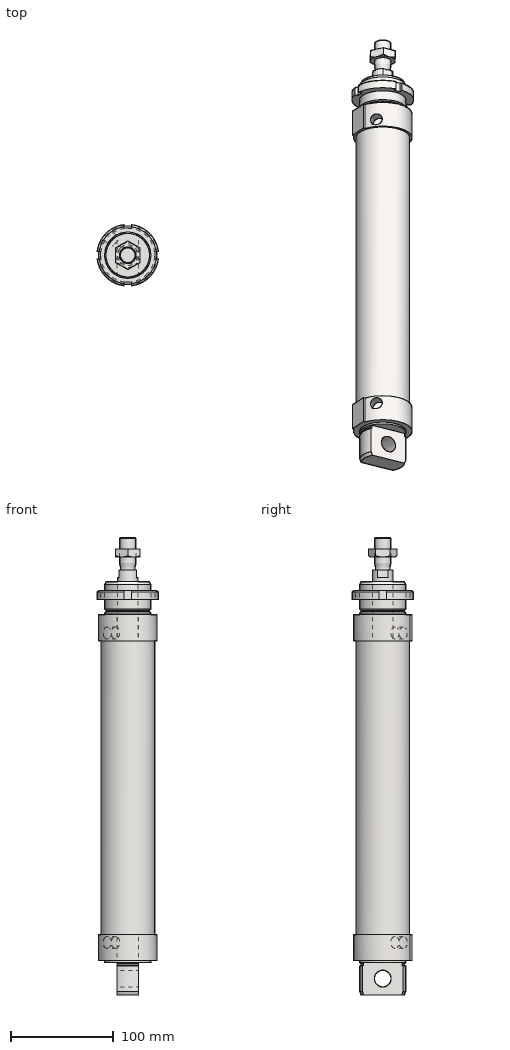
import cadquery as cq
import math

OVERALL_LENGTH = 445.0

BARREL_DIAMETER = 52.5
CAP_DIAMETER = 57.0
CAP_HEIGHT = 25.5
REAR_CAP_BASE = 33.5
FRONT_CAP_BASE = 344.5
COLLAR_DIAMETER = 45.0
COLLAR_TOP = 402.0
END_CHAMFER_WIDTH = 1.5
COLLAR_CHAMFER_HEIGHT = 2.5
CLEVIS_CHAMFER_HEIGHT = 3.5
RELIEF_DIAMETER = 42.7
RELIEF_BAND = 2.0
RELIEF_HEIGHT = 3.5
RELIEF_TAPER = (COLLAR_DIAMETER - RELIEF_DIAMETER) / 2
CLEVIS_THICKNESS = 21.0
CLEVIS_HOLE_DIAMETER = 16.0
CLEVIS_HOLE_HEIGHT = 16.0

PAD_WIDTH = 20.5
PAD_REACH = CAP_DIAMETER / 2
PORT_DIAMETER = 11.5
PORT_DEPTH = 11.5
PORT_ANGLE = 135.0
PORT_OFFSET = 7.5

ROD_DIAMETER = 20.0
ROD_SHOULDER = 413.5
ROD_FLATS_WIDTH = 17.5
ROD_FLATS_HEIGHT = 7.5
STUD_DIAMETER = 16.0
STUD_UNDERCUT_DIAMETER = 14.2
STUD_UNDERCUT_HEIGHT = 2.2
STUD_RUNOUT_HEIGHT = 4.0
STUD_CHAMFER = 1.0

HEX_ACROSS_FLATS = 24.0
HEX_BASE = 426.0
HEX_HEIGHT = 8.0
HEX_CHAMFER_HEIGHT = 1.5
HEX_SIDES = 6

RING_DIAMETER = 60.0
RING_BASE = 384.5
RING_HEIGHT = 9.0
RING_CHAMFER_WIDTH = 2.2
RING_CHAMFER_HEIGHT = 1.5
RING_SLOT_COUNT = 4
RING_SLOT_WIDTH = 7.0
RING_SLOT_FLOOR = 26.3


def cylinder(diameter, base, top):
    """Upright cylinder on the Z axis."""
    return cq.Workplane("XY").workplane(offset=base).circle(diameter / 2).extrude(top - base)


def revolved(profile):
    """Solid of revolution about Z from (radius, height) points."""
    return cq.Workplane("XZ").polyline(profile).close().revolve(360, (0, 0, 0), (0, 1, 0))


def make_cap(base):
    """End cap with its flat pad."""
    pad = cq.Workplane("XY").box(PAD_WIDTH, PAD_REACH, CAP_HEIGHT, centered=(True, False, False))
    return cylinder(CAP_DIAMETER, base, base + CAP_HEIGHT).union(pad.translate((0, 0, base)))


def make_port(height):
    """Cutter for a blind port drilled square to the cap surface."""
    angle = math.radians(PORT_ANGLE)
    outward = cq.Vector(math.cos(angle), math.sin(angle), 0)
    floor_center = outward * (CAP_DIAMETER / 2 - PORT_DEPTH) + cq.Vector(0, 0, height)
    return cq.Workplane(cq.Solid.makeCylinder(PORT_DIAMETER / 2, CAP_DIAMETER, floor_center, outward))


def make_collar():
    """Threaded collar with a tapered relief groove near the cap and a chamfered mouth."""
    base = FRONT_CAP_BASE + CAP_HEIGHT
    radius = COLLAR_DIAMETER / 2
    relief_base = base + RELIEF_BAND
    return revolved([
        (0, base),
        (radius, base),
        (radius, relief_base),
        (RELIEF_DIAMETER / 2, relief_base + RELIEF_TAPER),
        (RELIEF_DIAMETER / 2, relief_base + RELIEF_HEIGHT - RELIEF_TAPER),
        (radius, relief_base + RELIEF_HEIGHT),
        (radius, COLLAR_TOP - COLLAR_CHAMFER_HEIGHT),
        (radius - END_CHAMFER_WIDTH, COLLAR_TOP),
        (0, COLLAR_TOP),
    ])


def make_clevis():
    """Turned spigot milled to a flat tongue with a cross hole along X."""
    radius = COLLAR_DIAMETER / 2
    band_base = REAR_CAP_BASE - RELIEF_BAND
    relief_base = band_base - RELIEF_HEIGHT
    spigot = revolved([
        (0, 0),
        (radius - END_CHAMFER_WIDTH, 0),
        (radius, CLEVIS_CHAMFER_HEIGHT),
        (radius, relief_base),
        (RELIEF_DIAMETER / 2, relief_base + RELIEF_TAPER),
        (RELIEF_DIAMETER / 2, band_base - RELIEF_TAPER),
        (radius, band_base),
        (radius, REAR_CAP_BASE),
        (0, REAR_CAP_BASE),
    ])
    tongue = cq.Workplane("XY").box(
        CLEVIS_THICKNESS, COLLAR_DIAMETER, band_base, centered=(True, True, False)
    )
    clevis = spigot.intersect(tongue.union(cylinder(COLLAR_DIAMETER, band_base, REAR_CAP_BASE)))
    hole = (
        cq.Workplane("YZ")
        .center(0, CLEVIS_HOLE_HEIGHT)
        .circle(CLEVIS_HOLE_DIAMETER / 2)
        .extrude(CLEVIS_THICKNESS, both=True)
    )
    return clevis.cut(hole)


def make_body():
    """One-piece body with a blind bore for the rod."""
    rear_cap_top = REAR_CAP_BASE + CAP_HEIGHT
    body = cylinder(BARREL_DIAMETER, rear_cap_top, FRONT_CAP_BASE)
    for section in (make_clevis(), make_cap(REAR_CAP_BASE), make_cap(FRONT_CAP_BASE), make_collar()):
        body = body.union(section)
    for port_height in (rear_cap_top - PORT_OFFSET, FRONT_CAP_BASE + PORT_OFFSET):
        body = body.cut(make_port(port_height))
    return body.cut(cylinder(ROD_DIAMETER, FRONT_CAP_BASE, COLLAR_TOP))


def make_rod():
    """Piston rod with wrench flats and a threaded stud above an undercut."""
    undercut_top = ROD_SHOULDER + STUD_UNDERCUT_HEIGHT
    rod = revolved([
        (0, FRONT_CAP_BASE),
        (ROD_DIAMETER / 2, FRONT_CAP_BASE),
        (ROD_DIAMETER / 2, ROD_SHOULDER),
        (STUD_UNDERCUT_DIAMETER / 2, ROD_SHOULDER),
        (STUD_UNDERCUT_DIAMETER / 2, undercut_top),
        (STUD_DIAMETER / 2, undercut_top + STUD_RUNOUT_HEIGHT),
        (STUD_DIAMETER / 2, OVERALL_LENGTH - STUD_CHAMFER),
        (STUD_DIAMETER / 2 - STUD_CHAMFER, OVERALL_LENGTH),
        (0, OVERALL_LENGTH),
    ])
    for side in (-1, 1):
        flat = cq.Workplane("XY").box(ROD_DIAMETER, ROD_DIAMETER, ROD_FLATS_HEIGHT)
        flat_center = side * (ROD_FLATS_WIDTH + ROD_DIAMETER) / 2
        rod = rod.cut(flat.translate((flat_center, 0, ROD_SHOULDER - ROD_FLATS_HEIGHT / 2)))
    return rod


def make_hex_nut():
    """Hexagonal nut with two flats facing +X and -X and its lower corners chamfered."""
    half_side_angle = 180 / HEX_SIDES
    across_corners = HEX_ACROSS_FLATS / math.cos(math.radians(half_side_angle))
    top = HEX_BASE + HEX_HEIGHT
    hexagon = (
        cq.Workplane("XY")
        .workplane(offset=HEX_BASE)
        .polygon(HEX_SIDES, across_corners)
        .extrude(HEX_HEIGHT)
        .rotate((0, 0, 0), (0, 0, 1), half_side_angle)
    )
    envelope = revolved([
        (0, HEX_BASE),
        (HEX_ACROSS_FLATS / 2, HEX_BASE),
        (across_corners / 2, HEX_BASE + HEX_CHAMFER_HEIGHT),
        (across_corners / 2, top),
        (0, top),
    ])
    return hexagon.intersect(envelope).cut(cylinder(STUD_DIAMETER, HEX_BASE, top))


def make_ring_nut():
    """Round nut with a chamfered upper rim and evenly spaced wrench slots."""
    radius = RING_DIAMETER / 2
    top = RING_BASE + RING_HEIGHT
    nut = revolved([
        (COLLAR_DIAMETER / 2, RING_BASE),
        (radius, RING_BASE),
        (radius, top - RING_CHAMFER_HEIGHT),
        (radius - RING_CHAMFER_WIDTH, top),
        (COLLAR_DIAMETER / 2, top),
    ])
    for index in range(RING_SLOT_COUNT):
        slot = cq.Workplane("XY").box(radius, RING_SLOT_WIDTH, RING_HEIGHT, centered=(False, True, False))
        slot = slot.translate((RING_SLOT_FLOOR, 0, RING_BASE))
        nut = nut.cut(slot.rotate((0, 0, 0), (0, 0, 1), index * 360 / RING_SLOT_COUNT))
    return nut


body = make_body()
rod = make_rod()
hex_nut = make_hex_nut()
ring_nut = make_ring_nut()

result = cq.Compound.makeCompound([body.val(), rod.val(), hex_nut.val(), ring_nut.val()])